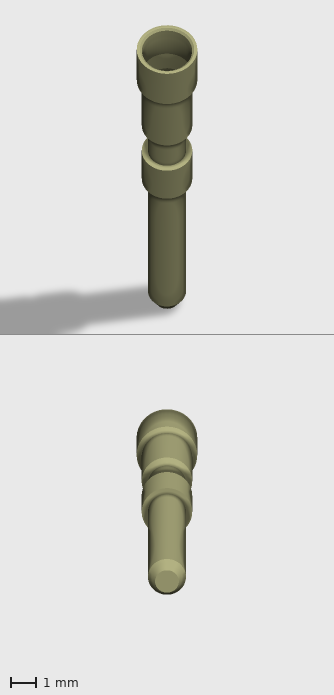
import cadquery as cq
import math

length = 16.5
head_radius = 2.4 / 2
body_radius = 2.0 / 2
pin_radius = 1.5 / 2
tip_radius = 0.94 / 2

tip_height = 0.53
collar_bottom = 7.99
collar_top = 9.83
body_taper_bottom = 11.25
body_bottom = body_taper_bottom + (body_radius - pin_radius)
head_taper_bottom = 14.3
head_bottom = head_taper_bottom + (head_radius - body_radius)

mouth_radius = 0.99
rim_bevel = 0.08
bore_radius = 0.68
mouth_depth = 1.6
funnel_angle = 30.0
bore_depth = 5.0
drill_point_angle = 140.0


def revolve_profile(points):
    """Revolve a closed (radius, height) outline about the Z axis."""
    outline = cq.Workplane("XZ").polyline(points).close()
    return outline.revolve(360, (0, 0, 0), (0, 1, 0))


def make_contact():
    return revolve_profile([
        (0, 0),
        (tip_radius, 0),
        (pin_radius, tip_height),
        (pin_radius, collar_bottom),
        (body_radius, collar_bottom),
        (body_radius, collar_top),
        (pin_radius, collar_top),
        (pin_radius, body_taper_bottom),
        (body_radius, body_bottom),
        (body_radius, head_taper_bottom),
        (head_radius, head_bottom),
        (head_radius, length),
        (0, length),
    ])


def make_socket():
    funnel_height = (mouth_radius - bore_radius) / math.tan(math.radians(funnel_angle))
    point_height = bore_radius / math.tan(math.radians(drill_point_angle / 2))
    funnel_top = length - mouth_depth
    bore_bottom = length - bore_depth
    return revolve_profile([
        (0, length),
        (mouth_radius + rim_bevel, length),
        (mouth_radius, length - rim_bevel),
        (mouth_radius, funnel_top),
        (bore_radius, funnel_top - funnel_height),
        (bore_radius, bore_bottom),
        (0, bore_bottom - point_height),
    ])


result = make_contact().cut(make_socket())